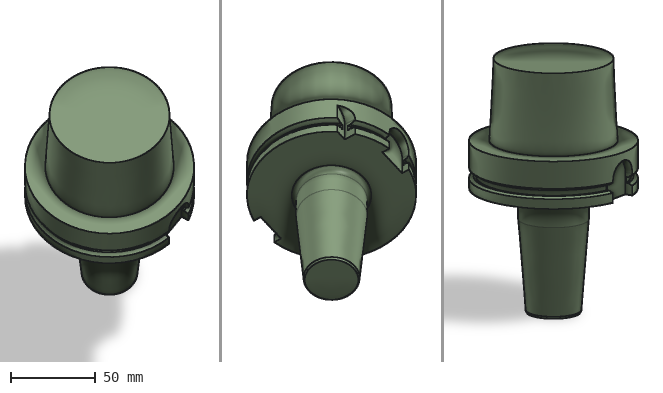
import cadquery as cq
import math

total_height = 155.0
flange_top = 105.0
flange_bottom = 76.0
tip_chamfer_height = 1.5
shank_taper_top = 57.2

flange_radius = 100.0 / 2
shank_radius = 42.0 / 2
shank_end_radius = 16.6
tip_radius = 15.8
nose_base_radius = 38.0
nose_top_radius = 35.5

relief_radius = 5.6
relief_height = 4.6

groove_root_radius = 45.9
groove_lip_radius = 47.3
groove_top = 86.6
groove_bottom = 83.1
groove_upper_bevel = 1.7
groove_lower_bevel = 1.1

slot_width = 20.0
wide_slot_width = 20.6
slot_peak = 99.8
drive_slot_floor = 44.0
side_slot_floor = 31.8
side_slot_y = 41.0


def relief_offset(height):
    """Radial growth of the relief arc at a height above its tangent point."""
    return relief_radius - math.sqrt(relief_radius**2 - height**2)


def make_turned_holder():
    """Shank and grooved flange, revolved around Z."""
    relief_start = flange_bottom - relief_height
    middle_height = relief_height / 2
    relief_middle = (shank_radius + relief_offset(middle_height), relief_start + middle_height)
    relief_end = (shank_radius + relief_offset(relief_height), flange_bottom)
    profile = (
        cq.Workplane("XZ")
        .lineTo(tip_radius, 0)
        .lineTo(shank_end_radius, tip_chamfer_height)
        .lineTo(shank_radius, shank_taper_top)
        .lineTo(shank_radius, relief_start)
        .threePointArc(relief_middle, relief_end)
        .lineTo(flange_radius, flange_bottom)
        .lineTo(flange_radius, groove_bottom - groove_lower_bevel)
        .lineTo(groove_lip_radius, groove_bottom)
        .lineTo(groove_root_radius, groove_bottom)
        .lineTo(groove_root_radius, groove_top)
        .lineTo(groove_lip_radius, groove_top)
        .lineTo(flange_radius, groove_top + groove_upper_bevel)
        .lineTo(flange_radius, flange_top)
        .lineTo(0, flange_top)
        .close()
    )
    return profile.revolve(360, (0, 0, 0), (0, 1, 0))


def make_slot_cutter(width, center_y, floor_distance, side):
    """Round-topped cutter running from the slot floor outward along side * X."""
    half_width = width / 2
    arc_start = slot_peak - half_width
    return (
        cq.Workplane("YZ", origin=(side * floor_distance, 0, 0))
        .moveTo(center_y - half_width, flange_bottom)
        .lineTo(center_y - half_width, arc_start)
        .threePointArc((center_y, slot_peak), (center_y + half_width, arc_start))
        .lineTo(center_y + half_width, flange_bottom)
        .close()
        .extrude(side * flange_radius)
    )


def make_holder():
    """Turned holder with two opposite drive slots and one side slot."""
    body = make_turned_holder()
    for side, width in ((-1, slot_width), (1, wide_slot_width)):
        body = body.cut(make_slot_cutter(width, 0, drive_slot_floor, side))
    return body.cut(make_slot_cutter(slot_width, side_slot_y, side_slot_floor, -1))


def make_nose():
    """Tapered nose standing on the flange."""
    return (
        cq.Workplane("XZ")
        .moveTo(0, flange_top)
        .lineTo(nose_base_radius, flange_top)
        .lineTo(nose_top_radius, total_height)
        .lineTo(0, total_height)
        .close()
        .revolve(360, (0, 0, 0), (0, 1, 0))
    )


holder = make_holder()
nose = make_nose()
result = cq.Compound.makeCompound([holder.solids().val(), nose.val()])